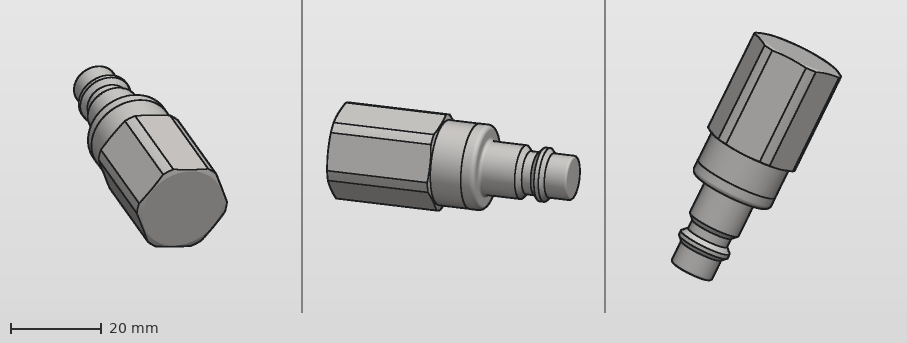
import cadquery as cq
import math

total_length = 54.0

tip_diameter = 9.9
tip_fillet = 0.55
plug_diameter = 12.0
groove_diameter = 9.6
ridge_cone_start = 5.1
ridge_flat_start = 6.1
ridge_flat_length = 1.0
groove_end = 10.4
root_fillet = 0.75

collar_start = 19.9
collar_diameter = 19.0
collar_fillet = 1.1
step_position = 22.95
rear_collar_diameter = 18.95

hex_start = 30.0
across_flats = 19.65
corner_diameter = 21.4
hex_rotation = 17.8
end_bevel_length = 0.3
end_bevel_diameter = rear_collar_diameter

tip_radius = tip_diameter / 2
plug_radius = plug_diameter / 2
groove_radius = groove_diameter / 2
collar_radius = collar_diameter / 2
rear_collar_radius = rear_collar_diameter / 2
ridge_flat_end = ridge_flat_start + ridge_flat_length
flank_depth = plug_radius - groove_radius
groove_start = ridge_flat_end + flank_depth
shank_start = groove_end + flank_depth
sine_45 = math.sqrt(0.5)


def make_round_body():
    """Revolve the plug and collar, ending inside the start of the hexagon."""
    profile = (
        cq.Workplane("XY")
        .lineTo(0, tip_radius - tip_fillet)
        .threePointArc(
            (
                tip_fillet * (1 - sine_45),
                tip_radius - tip_fillet * (1 - sine_45),
            ),
            (tip_fillet, tip_radius),
        )
        .lineTo(ridge_cone_start, tip_radius)
        .lineTo(ridge_flat_start, plug_radius)
        .lineTo(ridge_flat_end, plug_radius)
        .lineTo(groove_start, groove_radius)
        .lineTo(groove_end, groove_radius)
        .lineTo(shank_start, plug_radius)
        .lineTo(collar_start - root_fillet, plug_radius)
        .threePointArc(
            (
                collar_start - root_fillet * (1 - sine_45),
                plug_radius + root_fillet * (1 - sine_45),
            ),
            (collar_start, plug_radius + root_fillet),
        )
        .lineTo(collar_start, collar_radius - collar_fillet)
        .threePointArc(
            (
                collar_start + collar_fillet * (1 - sine_45),
                collar_radius - collar_fillet * (1 - sine_45),
            ),
            (collar_start + collar_fillet, collar_radius),
        )
        .lineTo(step_position, collar_radius)
        .lineTo(step_position, rear_collar_radius)
        .lineTo(hex_start + end_bevel_length, rear_collar_radius)
        .lineTo(hex_start + end_bevel_length, 0)
        .close()
    )
    return profile.revolve(360, (0, 0, 0), (1, 0, 0))


def make_hex_grip():
    """Intersect a hexagonal prism with a turned blank that rounds and bevels it."""
    hex_length = total_length - hex_start
    prism = (
        cq.Workplane("YZ", origin=(hex_start, 0, 0))
        .polygon(6, across_flats, circumscribed=True)
        .extrude(hex_length)
        .rotate((0, 0, 0), (1, 0, 0), hex_rotation)
    )
    blank = (
        cq.Workplane("YZ", origin=(hex_start, 0, 0))
        .circle(corner_diameter / 2)
        .extrude(hex_length)
        .faces("<X or >X")
        .chamfer(end_bevel_length, (corner_diameter - end_bevel_diameter) / 2)
    )
    return prism.intersect(blank)


result = make_round_body().union(make_hex_grip())